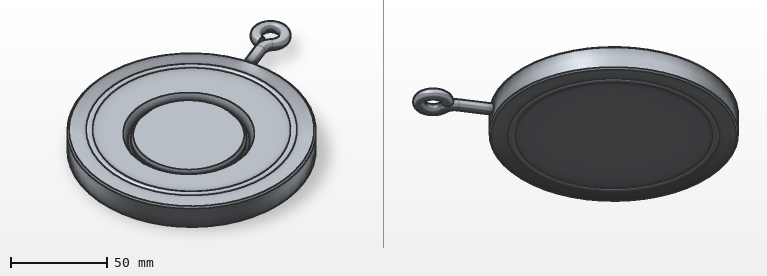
import cadquery as cq
import math

body_diameter = 129.0
body_thickness = 14.0
rim_bevel = 1.0

overall_thickness = 15.8
seal_cord_diameter = 4.0
seal_mean_radius = 53.0

seat_offset_y = -3.5
seat_top_diameter = 68.0
seat_floor_diameter = 63.0
seat_depth = 5.0
disc_diameter = 60.0
disc_face_diameter = 57.5
disc_recess = 1.0
disc_bevel_height = 2.0

bar_diameter = 6.0
eye_mean_radius = 7.5
eye_center_y = 96.0
eye_start_angle = -60.0
eye_end_angle = 255.0
shank_root_y = 55.0

top_z = body_thickness / 2


def make_body():
    blank = cq.Workplane("XY").circle(body_diameter / 2).extrude(body_thickness)
    blank = blank.translate((0, 0, -top_z))
    return blank.faces("<Z or >Z").edges().chamfer(rim_bevel)


def make_seal(side):
    """Round cord ring on the upper (side = 1) or lower (side = -1) face."""
    cord_radius = seal_cord_diameter / 2
    cord_z = side * (overall_thickness / 2 - cord_radius)
    section = cq.Workplane("XZ").center(seal_mean_radius, cord_z).circle(cord_radius)
    return section.revolve(360, (-seal_mean_radius, 0, 0), (-seal_mean_radius, 1, 0))


def make_seat_gap():
    """Tapered recess around the closing disc, together with the space above the disc."""
    floor_z = top_z - seat_depth
    disc_top_z = top_z - disc_recess
    section = (
        cq.Workplane("XZ")
        .moveTo(0, top_z)
        .lineTo(seat_top_diameter / 2, top_z)
        .lineTo(seat_floor_diameter / 2, floor_z)
        .lineTo(disc_diameter / 2, floor_z)
        .lineTo(disc_diameter / 2, disc_top_z - disc_bevel_height)
        .lineTo(disc_face_diameter / 2, disc_top_z)
        .lineTo(0, disc_top_z)
        .close()
    )
    return section.revolve(360, (0, 0, 0), (0, 1, 0)).translate((0, seat_offset_y, 0))


def eye_point(angle):
    turn = math.radians(angle)
    return (eye_mean_radius * math.cos(turn), eye_center_y + eye_mean_radius * math.sin(turn))


def make_eye_bolt():
    """Bar swept up the shank, through a tangent bend and around the eye."""
    eye_start = eye_point(eye_start_angle)
    bend_turn = math.radians(-eye_start_angle)
    bend_radius = eye_start[0] / (1 - math.cos(bend_turn))
    bend_start_y = eye_start[1] - bend_radius * math.sin(bend_turn)
    path = (
        cq.Workplane("XY")
        .moveTo(0, shank_root_y)
        .lineTo(0, bend_start_y)
        .tangentArcPoint(eye_start, relative=False)
        .threePointArc(eye_point((eye_start_angle + eye_end_angle) / 2), eye_point(eye_end_angle))
    )
    section = cq.Workplane("XZ", origin=(0, shank_root_y, 0)).circle(bar_diameter / 2)
    return section.sweep(path)


result = make_body().union(make_seal(1)).union(make_seal(-1))
result = result.cut(make_seat_gap()).union(make_eye_bolt())